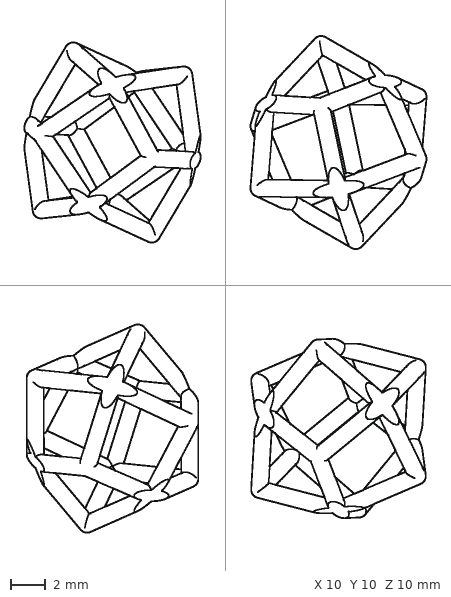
import cadquery as cq

size = 10.0
strut_diameter = 1.0

strut_radius = strut_diameter / 2
axis_reach = size / 2
corner_reach = axis_reach * 2 / 3
signs = (-1, 1)


def strut(start, end):
    """Round bar between two node points."""
    direction = end - start
    return cq.Workplane(cq.Solid.makeCylinder(strut_radius, direction.Length, start, direction))


def axis_nodes_around(corner):
    """The three axis nodes nearest to a corner node."""
    sign_x, sign_y, sign_z = corner
    return (
        cq.Vector(sign_x * axis_reach, 0, 0),
        cq.Vector(0, sign_y * axis_reach, 0),
        cq.Vector(0, 0, sign_z * axis_reach),
    )


def corner_joint(corner):
    """Ball at a corner node with its three struts."""
    center = cq.Vector(*corner) * corner_reach
    joint = cq.Workplane("XY").sphere(strut_radius).translate(center)
    for axis_node in axis_nodes_around(corner):
        joint = joint.union(strut(center, axis_node))
    return joint


corners = [(x, y, z) for x in signs for y in signs for z in signs]
frame = corner_joint(corners[0])
for corner in corners[1:]:
    frame = frame.union(corner_joint(corner))

result = frame.intersect(cq.Workplane("XY").box(size, size, size))